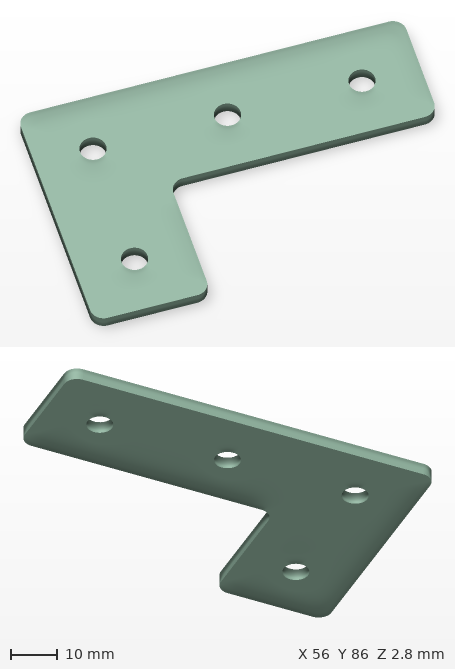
import cadquery as cq

hole_pitch = 30.0
edge_distance = 13.0
thickness = 2.8
corner_radius = 3.0
hole_diameter = 5.8

long_arm_pitches = 2
short_arm_pitches = 1
arm_width = 2 * edge_distance
length_x = short_arm_pitches * hole_pitch + arm_width
length_y = long_arm_pitches * hole_pitch + arm_width


def make_plate():
    """L-shaped plate with every corner rounded, outer corner at the origin."""
    outline = [
        (0, 0),
        (length_x, 0),
        (length_x, arm_width),
        (arm_width, arm_width),
        (arm_width, length_y),
        (0, length_y),
    ]
    plate = cq.Workplane("XY").polyline(outline).close().extrude(thickness)
    return plate.edges("|Z").fillet(corner_radius)


def hole_centres():
    """Evenly spaced holes along both arms, sharing the one at the corner."""
    long_arm = [(edge_distance, edge_distance + i * hole_pitch) for i in range(long_arm_pitches + 1)]
    short_arm = [(edge_distance + i * hole_pitch, edge_distance) for i in range(1, short_arm_pitches + 1)]
    return long_arm + short_arm


def make_hole_cutters():
    """Cylinders that pass through the full plate thickness."""
    return cq.Workplane("XY").pushPoints(hole_centres()).circle(hole_diameter / 2).extrude(thickness)


result = make_plate().cut(make_hole_cutters())